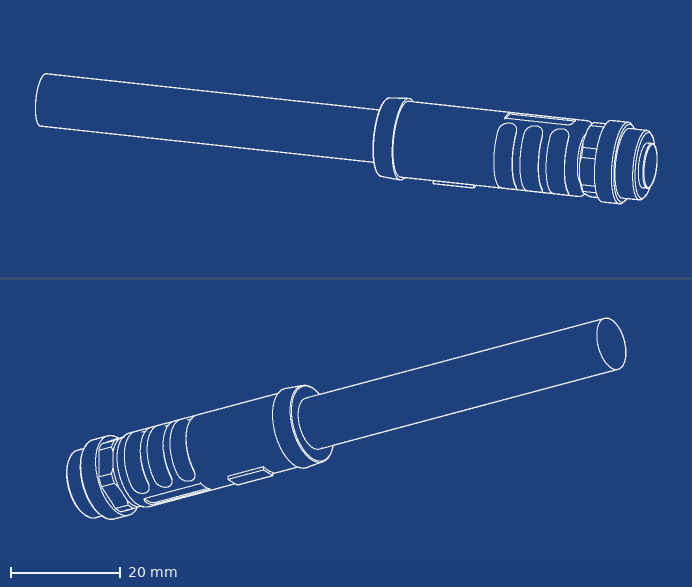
import cadquery as cq

total_length = 116.4
collar_start = 65.4
collar_end = 69.2
grip_end = 103.8
nut_start = 104.8
ring_start = 108.0
ring_end = 111.6
sleeve_end = 115.3

cable_diameter = 9.7
collar_small_diameter = 14.4
outer_diameter = 15.0
grip_diameter = 14.0
neck_diameter = 9.3
sleeve_diameter = 12.8
tip_diameter = 8.3
edge_break = 0.3
fine_edge_break = 0.17

nut_across_flats = 12.9
nut_corner_diameter = 14.0

groove_first_x = 90.3
groove_pitch = 5.0
groove_count = 3
groove_width = 3.5
groove_floor_diameter = 13.0
groove_floor_radius = 0.3
groove_end_y = 2.8

recess_start = 88.9
recess_end = 101.7
recess_width = 3.1
recess_floor_z = 6.5
recess_corner_radius = 0.9

pad_start = 75.2
pad_end = 83.0
pad_width = 3.1
pad_bottom_z = -7.5


def cylinder(start, end, diameter):
    """Round bar along X between two positions."""
    return cq.Workplane("YZ", origin=(start, 0, 0)).circle(diameter / 2).extrude(end - start)


def collar():
    """Collar that widens from the cable side toward the grip."""
    cone = (
        cq.Workplane("YZ", origin=(collar_start, 0, 0))
        .circle(collar_small_diameter / 2)
        .workplane(offset=collar_end - collar_start)
        .circle(outer_diameter / 2)
        .loft(ruled=True)
    )
    return cone.faces("<X").edges().chamfer(fine_edge_break)


def nut():
    """Hexagon with flats facing +Y and -Y, its corners turned to a cylinder."""
    length = ring_start - nut_start
    hexagon = (
        cq.Workplane("YZ", origin=(nut_start, 0, 0))
        .polygon(6, nut_across_flats, circumscribed=True)
        .extrude(length)
    )
    blank = cylinder(nut_start, ring_start, nut_corner_diameter).faces("<X").edges().chamfer(edge_break)
    return hexagon.intersect(blank)


def groove_cutter(center_x, side):
    """Round-ended groove wrapping one flank down to a cylindrical floor."""
    length = 2 * grip_diameter
    slot = (
        cq.Workplane("XY", origin=(center_x, 0, -grip_diameter))
        .center(0, side * (groove_end_y + length / 2))
        .slot2D(length, groove_width, 90)
        .extrude(length)
    )
    core = cylinder(collar_end, grip_end, groove_floor_diameter)
    cutter = slot.cut(core)
    reach = (groove_floor_diameter + grip_diameter) / 4
    near_floor = cq.selectors.BoxSelector((0, -reach, -reach), (total_length, reach, reach))
    return cutter.edges(near_floor).fillet(groove_floor_radius)


def recess_cutter():
    """Flat-floored recess above the grip, square at the cable end."""
    length = recess_end - recess_start
    return (
        cq.Workplane("XY", origin=((recess_start + recess_end) / 2, 0, recess_floor_z))
        .rect(length, recess_width)
        .extrude(grip_diameter)
        .edges("|Z and >X")
        .fillet(recess_corner_radius)
    )


def pad():
    """Block from the axis down to just below the grip surface."""
    return (
        cq.Workplane("XY", origin=((pad_start + pad_end) / 2, 0, pad_bottom_z))
        .rect(pad_end - pad_start, pad_width)
        .extrude(-pad_bottom_z)
    )


ring = cylinder(ring_start, ring_end, outer_diameter).faces(">X").edges().chamfer(edge_break)
tip = cylinder(sleeve_end, total_length, tip_diameter).faces(">X").edges().chamfer(fine_edge_break)
sleeve = cylinder(ring_end, sleeve_end, sleeve_diameter).faces(">X").edges().chamfer(edge_break)

grip = cylinder(collar_end, grip_end, grip_diameter).faces(">X").edges().fillet(edge_break)
for index in range(groove_count):
    for side in (-1, 1):
        grip = grip.cut(groove_cutter(groove_first_x + index * groove_pitch, side))
top_recess = recess_cutter()
grip = grip.cut(top_recess).cut(top_recess.mirror("XY"))

result = cylinder(0, collar_start, cable_diameter)
for piece in (
    collar(),
    grip,
    pad(),
    cylinder(grip_end, nut_start, neck_diameter),
    nut(),
    ring,
    sleeve,
    tip,
):
    result = result.union(piece)